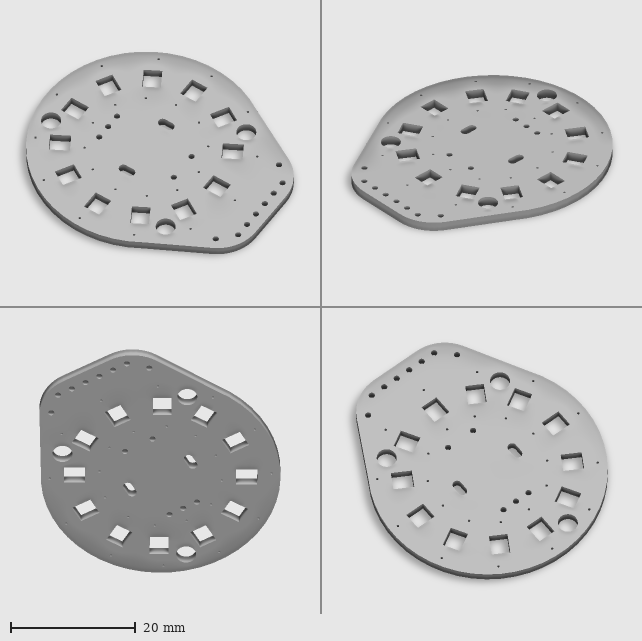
import cadquery as cq
import math

plate_thickness = 1.6
disc_radius = 19.25
plate_length = 43.45
flat_edge_x = plate_length - disc_radius
flank_start_angle = 57.5
flank_normal_angle = 61.4
corner_radius = 7.4

lamp_count = 12
lamp_ring_radius = 13.8
window_length = 3.4
window_width = 3.0
pin_diameter = 0.4
pin_reach = 4.0
pin_sidestep = 0.75

lamp_shifts = {
    0: (0.05, -0.15),
    30: (0.15, 0.15),
    90: (-0.1, 0.05),
    180: (-0.05, 0.0),
    210: (0.0, 0.15),
    240: (-0.17, -0.4),
    300: (0.0, 0.15),
    330: (0.17, 0.0),
}

mount_diameter = 3.2
mount_x = 11.65
mount_y = 11.5
rear_mount = (-15.6, -4.13)

wire_diameter = 1.0
header_count = 6
header_span = 12.7
header_pitch = header_span / (header_count - 1)
header_x = 22.2
corner_hole_x = 19.7
corner_hole_y = 9.05
left_row_x = -7.35
right_row_x = 7.13

slot_length = 2.9
slot_width = 1.48
slot_x = 0.15
slot_y = 5.6


def polar(radius, angle):
    """Point at the given radius and angle (degrees) about the origin."""
    return (radius * math.cos(math.radians(angle)), radius * math.sin(math.radians(angle)))


def mirrored(point):
    """The same point on the other side of the X axis."""
    return (point[0], -point[1])


def make_plate():
    """Disc with two straight flanks that run through rounded corners into the flat edge."""
    normal_x, normal_y = polar(1, flank_normal_angle)
    corner_x = flat_edge_x - corner_radius
    corner_y = (disc_radius - corner_radius - corner_x * normal_x) / normal_y

    def corner_point(angle):
        x, y = polar(corner_radius, angle)
        return (corner_x + x, corner_y + y)

    flank_start = polar(disc_radius, flank_start_angle)
    corner_start = corner_point(flank_normal_angle)
    corner_middle = corner_point(flank_normal_angle / 2)
    corner_end = corner_point(0)

    return (
        cq.Workplane("XY")
        .moveTo(*flank_start)
        .lineTo(*corner_start)
        .threePointArc(corner_middle, corner_end)
        .lineTo(*mirrored(corner_end))
        .threePointArc(mirrored(corner_middle), mirrored(corner_start))
        .lineTo(*mirrored(flank_start))
        .threePointArc((-disc_radius, 0), flank_start)
        .close()
        .extrude(plate_thickness)
    )


def round_cutters(points, diameter):
    """Through-hole cutters at the given points."""
    return cq.Workplane("XY").pushPoints(points).circle(diameter / 2).extrude(plate_thickness)


def lamp_cutter(angle):
    """Window and its two pin holes, placed on the lamp ring at the given angle."""
    outward, sideways = lamp_shifts.get(angle, (0, 0))
    window = cq.Workplane("XY").rect(window_length, window_width).extrude(plate_thickness)
    pins = round_cutters([(pin_reach, -pin_sidestep), (-pin_reach, pin_sidestep)], pin_diameter)
    return (
        window.add(pins)
        .combine()
        .translate((lamp_ring_radius + outward, sideways, 0))
        .rotate((0, 0, 0), (0, 0, 1), angle)
    )


def wire_hole_points():
    """Header column by the flat edge, its two corner holes and the two inner rows."""
    header = [(header_x, i * header_pitch - header_span / 2) for i in range(header_count)]
    corners = [(corner_hole_x, side * corner_hole_y) for side in (-1, 1)]
    left_row = [(left_row_x, step * header_pitch) for step in (-1, 0, 1)]
    right_row = [(right_row_x, side * header_pitch) for side in (-1, 1)]
    return header + corners + left_row + right_row


mount_points = [(mount_x, mount_y), (mount_x, -mount_y), rear_mount]
slots = (
    cq.Workplane("XY")
    .pushPoints([(slot_x, slot_y), (slot_x, -slot_y)])
    .slot2D(slot_length, slot_width)
    .extrude(plate_thickness)
)

result = make_plate()
for lamp in range(lamp_count):
    result = result.cut(lamp_cutter(lamp * 360 // lamp_count))
result = result.cut(round_cutters(mount_points, mount_diameter))
result = result.cut(round_cutters(wire_hole_points(), wire_diameter))
result = result.cut(slots)